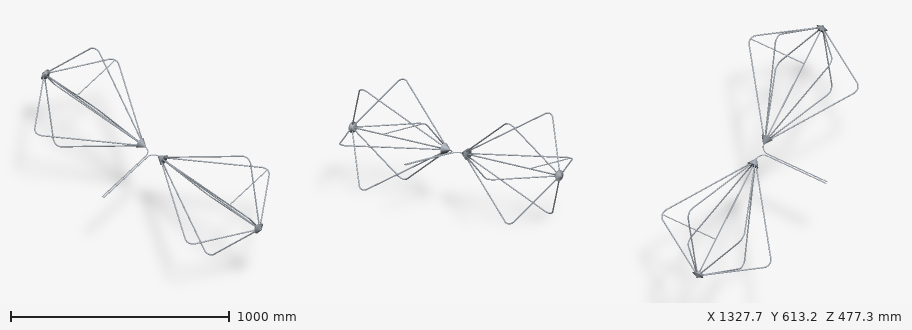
import cadquery as cq
import math


rod_radius = 6.35 / 2
thin_rod_radius = 5 / 2
bend_radius = 38.1

half_length = 663.84
lead_offset = 4.5
lead_bend_x = lead_offset + bend_radius
lead_straight_length = 300.0

feed_tip_x = 38.5
feed_tip_radius = rod_radius
feed_base_x = 73.5
feed_base_radius = 27.0

hub_inner_x = 636.0
hub_inner_radius = 14.5
rim_inner_x = 650.0
rim_outer_x = 651.0
rim_radius = 27.0
hub_shoulder_radius = 23.0
stub_base_x = 661.0
stub_radius = 5.0

spoke_count = 6
spoke_inner_end = (70.0, 14.5)
spoke_corner = (467.2, 287.25)
spoke_outer_end = (646.0, 14.0)
brace_x = 463.0


def direction(start, end):
    """Unit vector from one (x, radius) point to another."""
    length = math.dist(start, end)
    return ((end[0] - start[0]) / length, (end[1] - start[1]) / length)


def step(point, along, distance):
    """Point reached from another by going a distance along a unit vector."""
    return (point[0] + along[0] * distance, point[1] + along[1] * distance)


def turned_about_axis(outline):
    """Solid of revolution about X of an (x, radius) outline that starts and ends on the axis."""
    return cq.Workplane("XY").polyline(outline).close().revolve(360, (0, 0, 0), (1, 0, 0))


inward = direction(spoke_corner, spoke_inner_end)
outward = direction(spoke_corner, spoke_outer_end)
half_corner_angle = math.acos(inward[0] * outward[0] + inward[1] * outward[1]) / 2
tangent_length = bend_radius / math.tan(half_corner_angle)
bend_start = step(spoke_corner, inward, tangent_length)
bend_end = step(spoke_corner, outward, tangent_length)
bisector = direction((0, 0), (inward[0] + outward[0], inward[1] + outward[1]))
bend_center = step(spoke_corner, bisector, bend_radius / math.sin(half_corner_angle))
bend_middle = step(bend_center, bisector, -bend_radius)


def make_spoke():
    """Bent rod that lies in the +Y half of the XY plane."""
    path = (
        cq.Workplane("XY")
        .moveTo(*spoke_inner_end)
        .lineTo(*bend_start)
        .threePointArc(bend_middle, bend_end)
        .lineTo(*spoke_outer_end)
    )
    start_plane = cq.Plane(
        origin=(*spoke_inner_end, 0),
        xDir=(0, 0, 1),
        normal=(-inward[0], -inward[1], 0),
    )
    return cq.Workplane(start_plane).circle(rod_radius).sweep(path)


def make_feed_hub():
    return turned_about_axis([
        (feed_tip_x, 0),
        (feed_tip_x, feed_tip_radius),
        (feed_base_x, feed_base_radius),
        (feed_base_x, 0),
    ])


def make_end_hub():
    return turned_about_axis([
        (hub_inner_x, 0),
        (hub_inner_x, hub_inner_radius),
        (rim_inner_x, hub_shoulder_radius),
        (rim_inner_x, rim_radius),
        (rim_outer_x, rim_radius),
        (rim_outer_x, hub_shoulder_radius),
        (stub_base_x, stub_radius),
        (half_length, stub_radius),
        (half_length, 0),
    ])


def make_axial_rod():
    """Straight rod along the axis that joins the two hubs."""
    length = rim_inner_x - feed_tip_x
    return cq.Workplane("YZ", origin=(feed_tip_x, 0, 0)).circle(rod_radius).extrude(length)


def make_brace():
    """Thin rod from the axial rod out to the bend of the +Y spoke."""
    rise = math.sqrt(bend_radius**2 - (brace_x - bend_center[0]) ** 2)
    length = bend_center[1] + rise
    return cq.Workplane("XZ", origin=(brace_x, 0, 0)).circle(thin_rod_radius).extrude(-length)


def make_feed_lead():
    """Thin rod that leaves the tip of the feed hub, bends toward -Y and runs straight."""
    bend_chord = bend_radius * math.sqrt(0.5)
    path = (
        cq.Workplane("XY")
        .moveTo(lead_bend_x, 0)
        .threePointArc(
            (lead_bend_x - bend_chord, bend_chord - bend_radius),
            (lead_offset, -bend_radius),
        )
        .lineTo(lead_offset, -bend_radius - lead_straight_length)
    )
    return cq.Workplane("YZ", origin=(lead_bend_x, 0, 0)).circle(thin_rod_radius).sweep(path)


def make_antenna_half():
    half = make_feed_hub().union(make_end_hub()).union(make_axial_rod()).union(make_brace())
    half = half.union(make_feed_lead())
    spoke = make_spoke()
    for index in range(spoke_count):
        angle = index * 360 / spoke_count
        half = half.union(spoke.rotate((0, 0, 0), (1, 0, 0), angle))
    return half


right_half = make_antenna_half()
left_half = right_half.mirror("YZ")

result = cq.Compound.makeCompound([right_half.val(), left_half.val()])